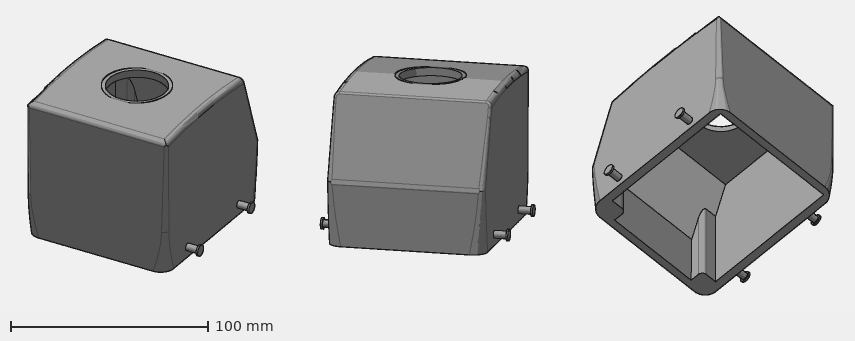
import math

import cadquery as cq

body_width = 82.5
body_depth = 94.0
body_height = 79.0
half_width = body_width / 2
half_depth = body_depth / 2
draft = math.tan(math.radians(0.65))
slope = math.tan(math.radians(20.0))
kink_height = 33.6
crown_radius = 300.0
crown_y = -6.0

roof_edge_radius = 3.0
slope_top_radius = 1.5
kink_radius = 8.0
cutter_margin = 1.0
cutter_top = body_height + cutter_margin
foot_height = 24.0
front_foot_corner = [(0.0, 7.6), (8.0, 5.2), (16.0, 3.5), (foot_height, 2.75)]
front_upper_corner = [(foot_height, 2.75), (cutter_top, 1.4)]
back_foot_corner = [(0.0, 7.6), (kink_height / 2, 4.7), (kink_height, 2.9)]
back_slope_corner = [(kink_height, 2.9), (cutter_top, 1.1)]

wall = 4.0
side_wall = 4.5
ceiling_height = 74.3
post_front_y = 35.0
post_width = 9.5
post_corner_radius = 2.8

entry_radius = 16.0
seat_radius = 18.1
seat_height = 78.5

pin_span = 98.0
pin_y = 25.5
pin_z = 6.0
pin_radius = 2.0
head_radius = 3.0
head_thickness = 1.0


def front_y(z):
    return -half_depth + z * draft


def back_y(z):
    upright = half_depth - min(z, kink_height) * draft
    return upright - max(z - kink_height, 0.0) * slope


def crown_z(y):
    drop = crown_radius - math.sqrt(crown_radius**2 - (y - crown_y) ** 2)
    return body_height - drop


refining_steps = 20


def roof_end(wall_y):
    """Point where a wall outline meets the crowned roof."""
    z = body_height
    for _ in range(refining_steps):
        z = crown_z(wall_y(z))
    return wall_y(z), z


def hood_block():
    outline = (
        cq.Workplane("YZ", origin=(-half_width, 0, 0))
        .moveTo(front_y(0), 0)
        .lineTo(*roof_end(front_y))
        .threePointArc((crown_y, body_height), roof_end(back_y))
        .lineTo(back_y(kink_height), kink_height)
        .lineTo(back_y(0), 0)
        .close()
    )
    block = outline.extrude(body_width)
    kink_point = (0, back_y(kink_height), kink_height)
    slope_top_point = (0, *roof_end(back_y))
    block = block.edges(cq.selectors.NearestToPointSelector(kink_point)).fillet(kink_radius)
    roof_edges = block.edges(cq.selectors.NearestToPointSelector((0, *roof_end(front_y))))
    for side in (-1, 1):
        side_point = (side * half_width, crown_y, body_height)
        roof_edges = roof_edges.add(block.edges(cq.selectors.NearestToPointSelector(side_point)))
    block = roof_edges.fillet(roof_edge_radius)
    return block.edges(cq.selectors.NearestToPointSelector(slope_top_point)).fillet(slope_top_radius)


def corner_section(wall_y, y_sign, z, radius):
    """Material outside a rounded corner at +X, at one height."""
    x = half_width
    y = wall_y(z)
    inset = radius * (1 - math.sqrt(0.5))
    outer_x = x + cutter_margin
    outer_y = y + y_sign * cutter_margin
    tangent_x = x - radius
    tangent_y = y - y_sign * radius
    return (
        cq.Workplane("XY", origin=(0, 0, z))
        .moveTo(tangent_x, y)
        .threePointArc((x - inset, y - y_sign * inset), (x, tangent_y))
        .lineTo(outer_x, tangent_y)
        .lineTo(outer_x, outer_y)
        .lineTo(tangent_x, outer_y)
        .close()
        .val()
    )


def round_corners(body, wall_y, y_sign, stations):
    sections = [corner_section(wall_y, y_sign, z, radius) for z, radius in stations]
    cutter = cq.Workplane(cq.Solid.makeLoft(sections))
    return body.cut(cutter).cut(cutter.mirror("YZ"))


def cavity():
    inner_half_width = half_width - side_wall
    outline = [
        (front_y(0) + wall, 0),
        (front_y(ceiling_height) + wall, ceiling_height),
        (back_y(ceiling_height) - wall, ceiling_height),
        (back_y(kink_height) - wall, kink_height),
        (back_y(0) - wall, 0),
    ]
    space = (
        cq.Workplane("YZ", origin=(-inner_half_width, 0, 0))
        .polyline(outline)
        .close()
        .extrude(2 * inner_half_width)
    )
    post_depth = half_depth - post_front_y
    for side in (-1, 1):
        post = (
            cq.Workplane("XY")
            .center(side * (inner_half_width - post_width / 2), post_front_y + post_depth / 2)
            .rect(post_width, post_depth)
            .extrude(ceiling_height)
            .edges("|Z and <Y")
            .edges("<X" if side > 0 else ">X")
            .fillet(post_corner_radius)
        )
        space = space.cut(post)
    return space


def cable_entry():
    """Bore through the roof with a flat, shallow seat cut into the crown around it."""
    bore = (
        cq.Workplane("XY", origin=(0, crown_y, ceiling_height - wall))
        .circle(entry_radius)
        .extrude(seat_height - ceiling_height + wall)
    )
    seat = (
        cq.Workplane("XY", origin=(0, crown_y, seat_height))
        .circle(seat_radius)
        .extrude(body_height - seat_height)
    )
    return bore.union(seat)


def locking_pin(side, y):
    root_x = half_width - side_wall / 2
    tip_x = pin_span / 2
    start = cq.Workplane("YZ", origin=(side * root_x, y, pin_z))
    shaft = start.circle(pin_radius).extrude(side * (tip_x - root_x))
    head_start = cq.Workplane("YZ", origin=(side * tip_x, y, pin_z))
    head = head_start.circle(head_radius).extrude(-side * head_thickness)
    return shaft.union(head)


hood = hood_block()
hood = round_corners(hood, front_y, -1, front_foot_corner)
hood = round_corners(hood, front_y, -1, front_upper_corner)
hood = round_corners(hood, back_y, 1, back_foot_corner)
hood = round_corners(hood, back_y, 1, back_slope_corner)
hood = hood.cut(cavity()).cut(cable_entry())
for pin_side in (-1, 1):
    for pin_place in (-pin_y, pin_y):
        hood = hood.union(locking_pin(pin_side, pin_place))

result = hood